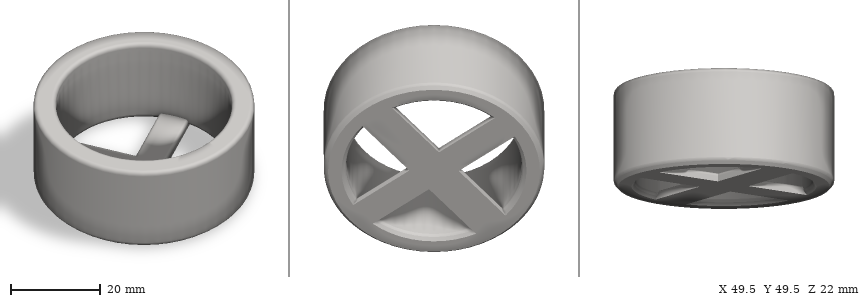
import cadquery as cq

outer_diameter = 49.5
bore_diameter = 39.5
height = 22.0
rim_fillet = 1.0
base_chamfer = 1.0
base_fillet = 1.0

spoke_along_x_width = 8.5
spoke_along_y_width = 7.05
spoke_thickness = 2.0
spoke_edge_fillet = 0.7


def make_ring():
    """Tube with a rounded rim and softened chamfers round the outside and inside of its base."""
    ring = cq.Workplane("XY").circle(outer_diameter / 2).circle(bore_diameter / 2).extrude(height)
    ring = ring.faces(">Z").edges().fillet(rim_fillet)
    ring = ring.faces("<Z").edges().chamfer(base_chamfer)
    chamfer_tops = cq.selectors.BoxSelector(
        (-outer_diameter, -outer_diameter, 0.9 * base_chamfer),
        (outer_diameter, outer_diameter, 1.1 * base_chamfer),
        boundingbox=True,
    )
    return ring.edges(chamfer_tops).fillet(base_fillet)


def make_cross():
    """Crossed spokes with rounded upper edges, ending inside the ring wall."""
    length = (outer_diameter + bore_diameter) / 2
    along_x = cq.Workplane("XY").rect(length, spoke_along_x_width).extrude(spoke_thickness)
    along_y = cq.Workplane("XY").rect(spoke_along_y_width, length).extrude(spoke_thickness)
    cross = along_x.union(along_y).faces(">Z").edges().fillet(spoke_edge_fillet)
    trim_diameter = bore_diameter + 2 * base_chamfer
    trim = cq.Workplane("XY").circle(trim_diameter / 2).extrude(spoke_thickness)
    return cross.intersect(trim)


result = make_ring().union(make_cross())